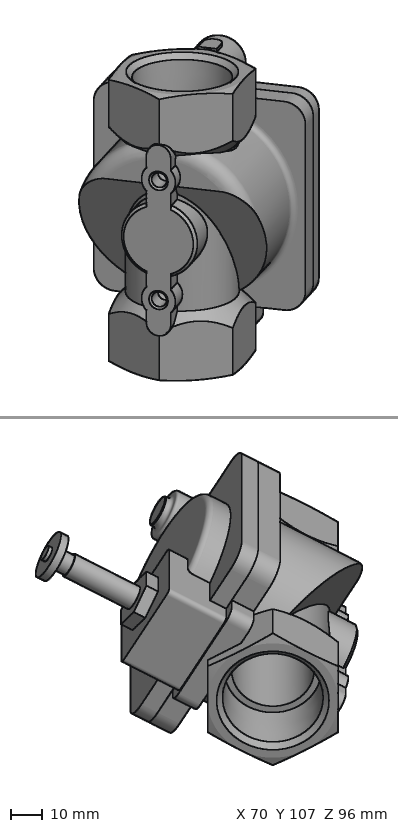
import cadquery as cq
import math

COS_45 = math.cos(math.radians(45))
HEX_CORNER_RATIO = 1 / math.cos(math.radians(30))


PAD_FACE_Y = -24.2
BOWL_FLOOR_Y = -19.3
FLANGE_FRONT_Y = 17.6
JOINT_Y = 25.6
COVER_FLANGE_Y = 31.5
COVER_TOP_Y = 39.55

FLANGE_SIDE = 70.0
FLANGE_CORNER_R = 7.0
FLANGE_HALF = FLANGE_SIDE / 2

BOWL_R = 30.5
BOWL_FLOOR_FILLET = 5.0
BOWL_ROOT_FILLET = 2.0
SLOPE_ANGLE = 60.0
SLOPE_AXIS_Y = -9.6

PORT_END_Z = 48.0
PIPE_R = 17.9
PIPE_END_Z = 25.6
HEX_FLATS = 41.0
HEX_CORNER_R = HEX_FLATS / 2 * HEX_CORNER_RATIO
HEX_END_CHAMFER_ANGLE = 15.0
BORE_R = 13.0
THREAD_MOUTH_R = 15.87
THREAD_DEPTH = 20.0
THREAD_TAPER = 1 / 32
THREAD_CHAMFER = 1.8

PAD_R = 12.5
PAD_EDGE_CHAMFER = 1.0
STRAP_WIDTH = 8.0
STRAP_LENGTH = 64.0
LOBE_R = 5.6
SCREW_PITCH = 40.0
SCREW_HOLE_D = 4.92
SCREW_MOUTH_D = 6.3
SCREW_HOLE_DEPTH = 7.0
DRILL_TIP_ANGLE = 118.0

BOSS_D = 17.0
BOSS_Z = 38.0
BOSS_EDGE_FILLET = 0.9
NECK_FOOT_HALF = 12.1
NECK_FLARE_R = 4.1
NECK_HEIGHT = 2.1
BOSS_TIP_R = 5.1
BOSS_TIP_HEIGHT = 2.4
BOSS_TIP_FLARE = 1.2
BOSS_TIP_CHAMFER = 0.3
KEY_WIDTH = 6.2
KEY_END_Y = 33.7
KEY_TOP_Z = 47.0

LUG_WIDTH = 37.0
LUG_BOTTOM_Z = -43.2
LUG_CORNER_R = 3.6

DRUM_R = 28.0
DRUM_EDGE_FILLET = 2.0
BLOCK_WIDTH = 30.0
BLOCK_TOP_Z = -14.0
BLOCK_BOTTOM_Z = -42.3
BLOCK_BACK_Y = 46.3
BLOCK_CORNER_R = 1.7
STEM_Z = -27.0
NUT_FLATS = 16.0
NUT_END_Y = 50.5
TUBE_D = 8.0
TUBE_END_Y = 74.0
TUBE_NECK_D = 7.0
DISC_START_Y = 78.75
DISC_D = 16.0
DISC_END_Y = 81.5
TIP_D = 5.0
TIP_END_Y = 82.8


def plane_at(y):
    """Workplane at height y whose local axes are X and Z and whose normal is -Y."""
    return cq.Workplane("XZ", origin=(0, y, 0))


def rod(diameter, x, z, y_start, y_end):
    """Cylinder along Y."""
    return plane_at(y_end).center(x, z).circle(diameter / 2).extrude(y_end - y_start)


def box(width, z_low, z_high, y_start, y_end):
    """Block centred on X."""
    return (
        plane_at(y_end)
        .center(0, (z_low + z_high) / 2)
        .rect(width, z_high - z_low)
        .extrude(y_end - y_start)
    )


def square_flange(y_start, y_end):
    return box(FLANGE_SIDE, -FLANGE_HALF, FLANGE_HALF, y_start, y_end).edges("|Y").fillet(FLANGE_CORNER_R)



def bowl():
    """Round bowl with a rounded floor and a hollow fillet at the flange, cut off by the slope."""
    floor_arc_y = BOWL_FLOOR_Y + BOWL_FLOOR_FILLET
    floor_arc_r = BOWL_R - BOWL_FLOOR_FILLET
    root_arc_y = FLANGE_FRONT_Y - BOWL_ROOT_FILLET
    root_arc_r = BOWL_R + BOWL_ROOT_FILLET
    solid = (
        cq.Workplane("XY")
        .moveTo(0, BOWL_FLOOR_Y)
        .lineTo(floor_arc_r, BOWL_FLOOR_Y)
        .threePointArc(
            (floor_arc_r + BOWL_FLOOR_FILLET * COS_45, floor_arc_y - BOWL_FLOOR_FILLET * COS_45),
            (BOWL_R, floor_arc_y),
        )
        .lineTo(BOWL_R, root_arc_y)
        .threePointArc(
            (root_arc_r - BOWL_ROOT_FILLET * COS_45, root_arc_y + BOWL_ROOT_FILLET * COS_45),
            (root_arc_r, FLANGE_FRONT_Y),
        )
        .lineTo(0, FLANGE_FRONT_Y)
        .close()
        .revolve(360, (0, 0, 0), (0, 1, 0))
    )
    reach = 2 * FLANGE_SIDE
    below_slope = (
        cq.Workplane("XY")
        .box(reach, reach, reach, centered=(True, True, False))
        .translate((0, 0, -reach))
        .rotate((0, 0, 0), (1, 0, 0), -SLOPE_ANGLE)
        .translate((0, SLOPE_AXIS_Y, 0))
    )
    return solid.cut(below_slope)


def port_hexagon():
    """Upper port hexagon: 45 degree cone towards the bowl, shallow chamfer at the open end."""
    prism = (
        cq.Workplane("XY", origin=(0, 0, PIPE_END_Z))
        .polygon(6, 2 * HEX_CORNER_R)
        .extrude(PORT_END_Z - PIPE_END_Z)
        .rotate((0, 0, 0), (0, 0, 1), 90)
    )
    chamfer_r = HEX_FLATS / 2
    chamfer_drop = (HEX_CORNER_R - chamfer_r) * math.tan(math.radians(HEX_END_CHAMFER_ANGLE))
    envelope = (
        cq.Workplane("XZ")
        .moveTo(0, PIPE_END_Z)
        .lineTo(PIPE_R, PIPE_END_Z)
        .lineTo(HEX_CORNER_R, PIPE_END_Z + HEX_CORNER_R - PIPE_R)
        .lineTo(HEX_CORNER_R, PORT_END_Z - chamfer_drop)
        .lineTo(chamfer_r, PORT_END_Z)
        .lineTo(0, PORT_END_Z)
        .close()
        .revolve(360, (0, 0, 0), (0, 1, 0))
    )
    return prism.intersect(envelope)


def port_thread():
    """Tapered thread bore of the upper port, with a 45 degree mouth chamfer."""
    thread_end_z = PORT_END_Z - THREAD_DEPTH
    return (
        cq.Workplane("XZ")
        .moveTo(0, thread_end_z)
        .lineTo(THREAD_MOUTH_R - THREAD_DEPTH * THREAD_TAPER, thread_end_z)
        .lineTo(THREAD_MOUTH_R - THREAD_CHAMFER * THREAD_TAPER, PORT_END_Z - THREAD_CHAMFER)
        .lineTo(THREAD_MOUTH_R + THREAD_CHAMFER, PORT_END_Z)
        .lineTo(0, PORT_END_Z)
        .close()
        .revolve(360, (0, 0, 0), (0, 1, 0))
    )


def mounting_pad():
    """Round pad crossed by a strap with two screw lobes, all ending on one face."""
    pad = rod(2 * PAD_R, 0, 0, PAD_FACE_Y, 0).faces("<Y").chamfer(PAD_EDGE_CHAMFER)
    strap = plane_at(0).slot2D(STRAP_LENGTH, STRAP_WIDTH, 90).extrude(-PAD_FACE_Y)
    pad = pad.union(strap)
    for side in (-1, 1):
        pad = pad.union(rod(2 * LOBE_R, 0, side * SCREW_PITCH / 2, PAD_FACE_Y, 0))
    return pad


def screw_hole(z):
    """Blind drilled hole with a conical tip and a countersunk mouth."""
    radius = SCREW_HOLE_D / 2
    mouth_r = SCREW_MOUTH_D / 2
    floor_y = PAD_FACE_Y + SCREW_HOLE_DEPTH
    tip_length = radius / math.tan(math.radians(DRILL_TIP_ANGLE / 2))
    return (
        cq.Workplane("XY", origin=(0, 0, z))
        .moveTo(0, PAD_FACE_Y)
        .lineTo(mouth_r, PAD_FACE_Y)
        .lineTo(radius, PAD_FACE_Y + mouth_r - radius)
        .lineTo(radius, floor_y)
        .lineTo(0, floor_y + tip_length)
        .close()
        .revolve(360, (0, 0, 0), (0, 1, 0))
    )


def body_lug():
    lug = box(LUG_WIDTH, LUG_BOTTOM_Z, 0, FLANGE_FRONT_Y, JOINT_Y)
    return lug.edges("|Y and <Z").fillet(LUG_CORNER_R)


def make_body():
    hexagon = port_hexagon()
    pipe = cq.Workplane("XY").circle(PIPE_R).extrude(PIPE_END_Z, both=True)
    body = bowl().union(pipe).union(mounting_pad())
    body = body.union(hexagon).union(hexagon.mirror("XY"))
    body = body.union(square_flange(FLANGE_FRONT_Y, JOINT_Y)).union(body_lug())
    body = body.union(rod(BOSS_D, 0, BOSS_Z, FLANGE_FRONT_Y, JOINT_Y))
    body = body.union(box(BOSS_D, 0, BOSS_Z, FLANGE_FRONT_Y, JOINT_Y))
    thread = port_thread()
    body = body.cut(cq.Workplane("XY").circle(BORE_R).extrude(PORT_END_Z, both=True))
    body = body.cut(thread).cut(thread.mirror("XY"))
    for side in (-1, 1):
        body = body.cut(screw_hole(side * SCREW_PITCH / 2))
    return body



def boss_neck():
    """Web between flange and pilot boss, flaring onto the flange edge."""
    neck = box(2 * NECK_FOOT_HALF, 0, FLANGE_HALF + NECK_HEIGHT, JOINT_Y, COVER_FLANGE_Y)
    for side in (-1, 1):
        flare_z = FLANGE_HALF + NECK_FLARE_R
        neck = neck.cut(rod(2 * NECK_FLARE_R, side * NECK_FOOT_HALF, flare_z, JOINT_Y, COVER_FLANGE_Y))
    return neck


def boss_tip():
    """Small round tip on the boss, with a hollow flare at its foot."""
    tip_end_y = COVER_TOP_Y + BOSS_TIP_HEIGHT
    foot_r = BOSS_TIP_R + BOSS_TIP_FLARE
    flare_y = COVER_TOP_Y + BOSS_TIP_FLARE
    return (
        cq.Workplane("XY", origin=(0, 0, BOSS_Z))
        .moveTo(0, COVER_TOP_Y)
        .lineTo(foot_r, COVER_TOP_Y)
        .threePointArc(
            (foot_r - BOSS_TIP_FLARE * COS_45, flare_y - BOSS_TIP_FLARE * COS_45),
            (BOSS_TIP_R, flare_y),
        )
        .lineTo(BOSS_TIP_R, tip_end_y - BOSS_TIP_CHAMFER)
        .lineTo(BOSS_TIP_R - BOSS_TIP_CHAMFER, tip_end_y)
        .lineTo(0, tip_end_y)
        .close()
        .revolve(360, (0, 0, 0), (0, 1, 0))
    )


def boss_key():
    """Raised flat key on top of the boss, with one round end."""
    radius = KEY_WIDTH / 2
    round_y = KEY_END_Y - radius
    return (
        cq.Workplane("XY", origin=(0, 0, BOSS_Z))
        .moveTo(-radius, JOINT_Y)
        .lineTo(radius, JOINT_Y)
        .lineTo(radius, round_y)
        .threePointArc((0, KEY_END_Y), (-radius, round_y))
        .close()
        .extrude(KEY_TOP_Z - BOSS_Z)
    )


def pilot_boss():
    boss = rod(BOSS_D, 0, BOSS_Z, JOINT_Y, COVER_TOP_Y).faces(">Y").edges().fillet(BOSS_EDGE_FILLET)
    return boss.union(boss_tip()).union(boss_key()).union(boss_neck())


def solenoid_stem():
    """Block, hexagon nut, stepped tube, disc and end tip, one after the other along Y."""
    block = box(BLOCK_WIDTH, BLOCK_BOTTOM_Z, BLOCK_TOP_Z, JOINT_Y, BLOCK_BACK_Y)
    block = block.edges("|Y").fillet(BLOCK_CORNER_R)
    nut_corner_d = NUT_FLATS * HEX_CORNER_RATIO
    nut = (
        plane_at(NUT_END_Y)
        .polygon(6, nut_corner_d)
        .extrude(NUT_END_Y - BLOCK_BACK_Y)
        .rotate((0, 0, 0), (0, 1, 0), 90)
        .translate((0, 0, STEM_Z))
    )
    stem = block.union(nut)
    sections = [
        (TUBE_D, NUT_END_Y, TUBE_END_Y),
        (TUBE_NECK_D, TUBE_END_Y, DISC_START_Y),
        (DISC_D, DISC_START_Y, DISC_END_Y),
        (TIP_D, DISC_END_Y, TIP_END_Y),
    ]
    for diameter, y_start, y_end in sections:
        stem = stem.union(rod(diameter, 0, STEM_Z, y_start, y_end))
    return stem


def make_cover():
    drum = rod(2 * DRUM_R, 0, 0, JOINT_Y, COVER_TOP_Y).faces(">Y").edges().fillet(DRUM_EDGE_FILLET)
    cover = square_flange(JOINT_Y, COVER_FLANGE_Y).union(drum)
    return cover.union(pilot_boss()).union(solenoid_stem())


body = make_body()
cover = make_cover()

result = cq.Compound.makeCompound([body.val(), cover.val()])